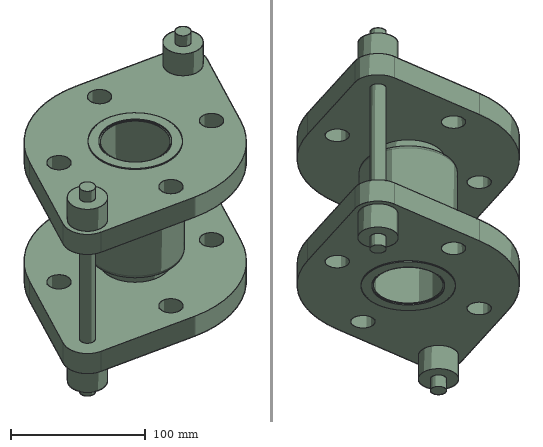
import cadquery as cq
import math

flange_diameter = 165.0
flange_thickness = 18.5
flange_outer_z = 64.0
ear_end_y = 123.0
rod_y = 104.0
flange_radius = flange_diameter / 2
ear_radius = ear_end_y - rod_y
flange_inner_z = flange_outer_z - flange_thickness

bolt_circle_diameter = 125.0
bolt_hole_diameter = 18.0
bolt_hole_count = 4
first_bolt_angle = 45

face_diameter = 70.0
face_height = 1.0

body_diameter = 73.0
body_height = 71.8
body_edge_radius = 3.0
neck_diameter = 54.0
neck_root_radius = 3.2
bore_diameter = 51.6

rod_diameter = 12.0
rod_length = 188.0
nut_diameter = 30.0
nut_height = 20.2


def cylinder(diameter, z_bottom, z_top, y=0):
    """Vertical cylinder centred at X = 0 and the given y."""
    return (
        cq.Workplane("XY", origin=(0, y, z_bottom))
        .circle(diameter / 2)
        .extrude(z_top - z_bottom)
    )


def flange(z_bottom):
    """Plate whose straight sides are tangent to the round middle and to the ears."""
    sine = (flange_radius - ear_radius) / rod_y
    cosine = math.sqrt(1 - sine**2)
    middle_x = flange_radius * cosine
    middle_y = flange_radius * sine
    ear_x = ear_radius * cosine
    ear_y = rod_y + ear_radius * sine
    plate = (
        cq.Workplane("XY", origin=(0, 0, z_bottom))
        .moveTo(middle_x, -middle_y)
        .threePointArc((flange_radius, 0), (middle_x, middle_y))
        .lineTo(ear_x, ear_y)
        .threePointArc((0, ear_end_y), (-ear_x, ear_y))
        .lineTo(-middle_x, middle_y)
        .threePointArc((-flange_radius, 0), (-middle_x, -middle_y))
        .lineTo(-ear_x, -ear_y)
        .threePointArc((0, -ear_end_y), (ear_x, -ear_y))
        .close()
        .extrude(flange_thickness)
    )
    bolt_holes = (
        cq.Workplane("XY", origin=(0, 0, z_bottom))
        .polarArray(bolt_circle_diameter / 2, first_bolt_angle, 360, bolt_hole_count)
        .circle(bolt_hole_diameter / 2)
        .extrude(flange_thickness)
    )
    return plate.cut(bolt_holes)


def body_and_necks():
    """Body on a full-length neck, with rounded rims and fillets where the neck leaves it."""
    half_height = body_height / 2
    body = cylinder(body_diameter, -half_height, half_height)
    neck = cylinder(neck_diameter, -flange_outer_z, flange_outer_z)
    neck_circles = cq.selectors.RadiusNthSelector(0)
    rim_circles = cq.selectors.RadiusNthSelector(-1)
    inside_flanges = cq.selectors.BoxSelector(
        (-body_diameter, -body_diameter, -flange_inner_z),
        (body_diameter, body_diameter, flange_inner_z),
    )
    joined = body.union(neck)
    joined = joined.edges(neck_circles & inside_flanges).fillet(neck_root_radius)
    return joined.edges(rim_circles).fillet(body_edge_radius)


def raised_face(z_bottom):
    """Thin sealing ring that leaves the end of the neck recessed inside it."""
    return (
        cq.Workplane("XY", origin=(0, 0, z_bottom))
        .circle(face_diameter / 2)
        .circle(neck_diameter / 2)
        .extrude(face_height)
    )


def tie_rod(y):
    """Rod running through both flanges, with a nut on each outer side."""
    nut_z = flange_outer_z + nut_height
    rod = cylinder(rod_diameter, -rod_length / 2, rod_length / 2, y)
    top_nut = cylinder(nut_diameter, flange_outer_z, nut_z, y)
    bottom_nut = cylinder(nut_diameter, -nut_z, -flange_outer_z, y)
    return rod.union(top_nut).union(bottom_nut)


result = body_and_necks()
for z_bottom in (flange_inner_z, -flange_outer_z):
    result = result.union(flange(z_bottom))
for z_bottom in (flange_outer_z, -flange_outer_z - face_height):
    result = result.union(raised_face(z_bottom))
for y in (-rod_y, rod_y):
    result = result.union(tie_rod(y))
result = result.cut(cylinder(bore_diameter, -flange_outer_z, flange_outer_z))